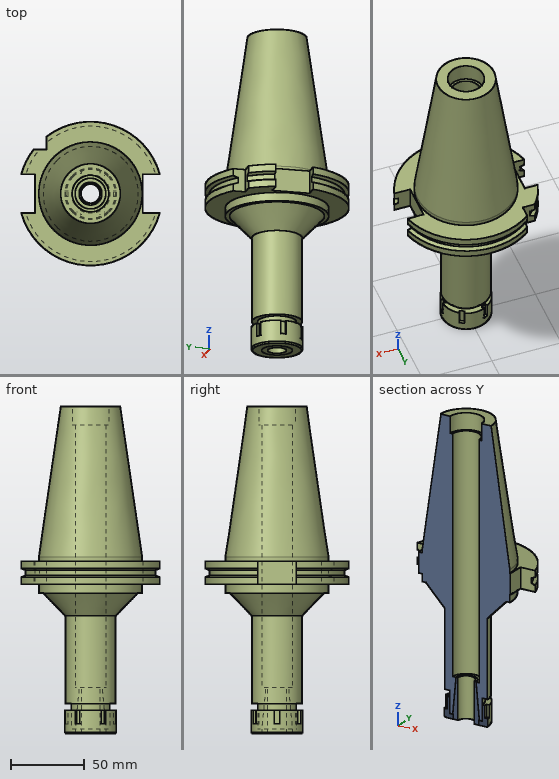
import cadquery as cq

total_height = 221.8
lip_height = 3.5
slot_floor_height = 6.7
nut_height = 16.0
neck_top = 20.5
collet_height = 31.5
shank_top = 79.8
collar_bottom = 95.4
flange_bottom = 101.1
flange_top = 116.9
gauge_line = 120.0

collar_radius = 35.0
taper_large_radius = collar_radius
taper_ratio = 7 / 24
taper_small_radius = taper_large_radius - (total_height - gauge_line) * taper_ratio / 2
flange_radius = 48.8
cone_large_radius = 32.2
shank_radius = 17.0
neck_radius = 13.0

groove_root_radius = 46.0
groove_mouth_width = 6.0
groove_root_width = 3.5
groove_center = (flange_bottom + flange_top) / 2

drive_slot_width = 26.0
left_slot_distance = 37.7
right_slot_distance = 35.5
notch_corner = 30.0

counterbore_radius = 12.5
counterbore_depth = 12.5
bore_radius = 10.5

collet_large_radius = 10.5
collet_small_radius = 7.8
collet_bore_radius = 6.5

nut_radius = 17.5
nut_chamfer_height = 1.0
nut_chamfer_width = 0.9
wrench_slot_count = 6
wrench_slot_width = 3.5
wrench_slot_depth = 2.2


def revolve_outline(points):
    """Turn a closed (radius, height) outline about the Z axis."""
    return cq.Workplane("XZ").polyline(points).close().revolve(360, (0, 0, 0), (0, 1, 0))


def box_between(x_range, y_range, z_range):
    """Box spanning the given low and high limits on each axis."""
    sizes = [high - low for low, high in (x_range, y_range, z_range)]
    corner = (x_range[0], y_range[0], z_range[0])
    return cq.Workplane("XY").box(*sizes, centered=False).translate(corner)


def collet_envelope():
    """Collet without its bore; it also shapes the seats in the holder and nut."""
    return revolve_outline([
        (0, 0),
        (collet_large_radius, 0),
        (collet_large_radius, lip_height),
        (collet_small_radius, collet_height),
        (0, collet_height),
    ])


def make_holder():
    body = revolve_outline([
        (0, lip_height),
        (neck_radius, lip_height),
        (neck_radius, neck_top),
        (shank_radius, neck_top),
        (shank_radius, shank_top),
        (cone_large_radius, collar_bottom),
        (collar_radius, collar_bottom),
        (collar_radius, flange_bottom),
        (flange_radius, flange_bottom),
        (flange_radius, groove_center - groove_mouth_width / 2),
        (groove_root_radius, groove_center - groove_root_width / 2),
        (groove_root_radius, groove_center + groove_root_width / 2),
        (flange_radius, groove_center + groove_mouth_width / 2),
        (flange_radius, flange_top),
        (taper_large_radius, flange_top),
        (taper_large_radius, gauge_line),
        (taper_small_radius, total_height),
        (0, total_height),
    ])

    flange_heights = (flange_bottom, flange_top)
    slot_sides = (-drive_slot_width / 2, drive_slot_width / 2)
    body = body.cut(box_between((-flange_radius, -left_slot_distance), slot_sides, flange_heights))
    body = body.cut(box_between((right_slot_distance, flange_radius), slot_sides, flange_heights))
    body = body.cut(box_between(
        (-flange_radius, -notch_corner), (notch_corner, flange_radius), flange_heights))

    counterbore_floor = total_height - counterbore_depth
    bore = revolve_outline([
        (0, collet_height),
        (bore_radius, collet_height),
        (bore_radius, counterbore_floor),
        (counterbore_radius, counterbore_floor),
        (counterbore_radius, total_height),
        (0, total_height),
    ])
    return body.cut(bore).cut(collet_envelope())


def make_collet():
    bore = cq.Workplane("XY").circle(collet_bore_radius).extrude(collet_height)
    return collet_envelope().cut(bore)


def make_nut():
    nut = revolve_outline([
        (collet_large_radius, 0),
        (nut_radius - nut_chamfer_width, 0),
        (nut_radius, nut_chamfer_height),
        (nut_radius, nut_height),
        (neck_radius, nut_height),
        (neck_radius, lip_height),
        (collet_large_radius, lip_height),
    ])
    wrench_slot = box_between(
        (nut_radius - wrench_slot_depth, nut_radius),
        (-wrench_slot_width / 2, wrench_slot_width / 2),
        (slot_floor_height, nut_height),
    )
    for index in range(wrench_slot_count):
        angle = index * 360 / wrench_slot_count
        nut = nut.cut(wrench_slot.rotate((0, 0, 0), (0, 0, 1), angle))
    return nut


holder = make_holder()
collet = make_collet()
nut = make_nut()

result = cq.Compound.makeCompound([holder.val(), collet.val(), nut.val()])